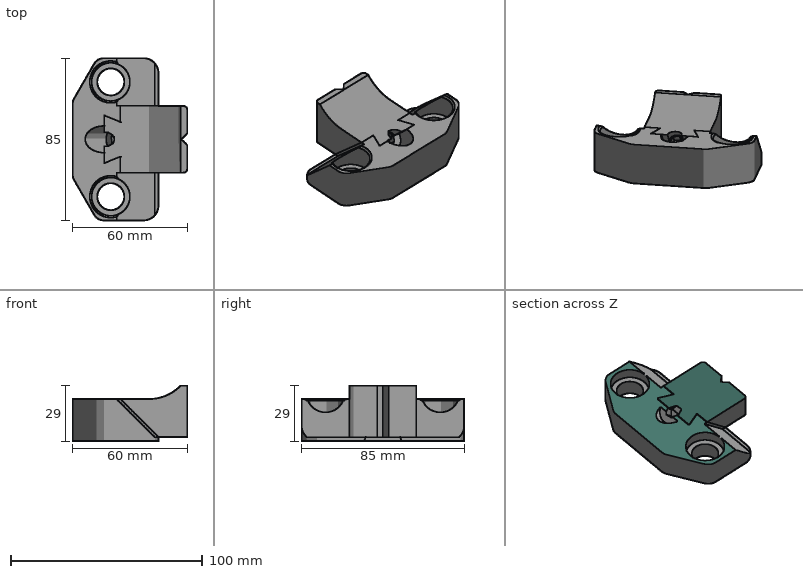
import cadquery as cq
import math

SLOPE = math.sqrt(2)

BASE_LENGTH = 45.0
BASE_WIDTH = 85.0
BASE_HEIGHT = 22.0
BASE_BACK_WIDTH = 40.0
BASE_SHOULDER_X = 13.0
BASE_TAPER_FILLET = 6.0
BASE_FRONT_FILLET = 8.0

FLANK_TOP_X = 23.0
SLIDE_TOP_X = 25.0
LEDGE_HEIGHT = 2.0

MOUNT_X = 20.0
MOUNT_SPACING = 60.0
MOUNT_BORE_DIAMETER = 14.0
MOUNT_COUNTERBORE_DIAMETER = 20.0
MOUNT_FLOOR_Z = 9.0
MOUNT_CHAMFER = 1.0

DOVETAIL_WIDTH = 25.0
DOVETAIL_DEPTH = 6.0
DOVETAIL_ANGLE = 30.0
DOVETAIL_NECK_WIDTH = DOVETAIL_WIDTH - 2 * DOVETAIL_DEPTH * math.tan(math.radians(DOVETAIL_ANGLE))
DOVETAIL_TOP_X = SLIDE_TOP_X - DOVETAIL_DEPTH * SLOPE

JAW_END_X = 60.0
JAW_WIDTH = 35.0
JAW_HEIGHT = 29.0
JAW_FILLET = 2.0
JAW_ARC_START_X = 40.0
JAW_ARC_RADIUS = 23.0
NOTCH_DEPTH = 3.0

SCREW_POCKET_DIAMETER = 14.0
SCREW_ACCESS_DIAMETER = 7.5
SCREW_RECESS_DEPTH = 8.5
SOCKET_SIDES = 6
SOCKET_ACROSS_FLATS = 6.0
SOCKET_DEPTH = 5.0
SOCKET_TURN = 22.5

OVERCUT = 20.0


def incline_plane(top_x):
    """Plane square to the incline: local Y points down into the base, normal runs down the slide."""
    return cq.Plane(origin=(top_x, 0, BASE_HEIGHT), xDir=(0, -1, 0), normal=(1, 0, -1))


def prism_across(points, width):
    """Extrude an XZ outline symmetrically about Y = 0."""
    return cq.Workplane("XZ").polyline(points).close().extrude(width / 2, both=True)


def dovetail_bar():
    """Dovetail running the whole length of the incline, past both ends."""
    run = BASE_HEIGHT * SLOPE + 2 * OVERCUT
    return (
        cq.Workplane(incline_plane(SLIDE_TOP_X))
        .workplane(offset=-OVERCUT)
        .polyline([
            (-DOVETAIL_NECK_WIDTH / 2, 0),
            (DOVETAIL_NECK_WIDTH / 2, 0),
            (DOVETAIL_WIDTH / 2, DOVETAIL_DEPTH),
            (-DOVETAIL_WIDTH / 2, DOVETAIL_DEPTH),
        ])
        .close()
        .extrude(run)
    )


def screw_recess(diameter):
    """Round recess down the incline with a hexagon socket in its floor."""
    axis_start = cq.Workplane(incline_plane(DOVETAIL_TOP_X))
    bore = (
        axis_start.workplane(offset=-OVERCUT)
        .circle(diameter / 2)
        .extrude(OVERCUT + SCREW_RECESS_DEPTH)
    )
    socket = (
        axis_start.workplane(offset=SCREW_RECESS_DEPTH)
        .transformed(rotate=(0, 0, SOCKET_TURN))
        .polygon(SOCKET_SIDES, SOCKET_ACROSS_FLATS, circumscribed=True)
        .extrude(SOCKET_DEPTH)
    )
    return bore.union(socket)


def base_plate():
    """Plate with a tapered back end and rounded vertical corners."""
    half = BASE_WIDTH / 2
    half_back = BASE_BACK_WIDTH / 2
    return (
        cq.Workplane("XY")
        .polyline([
            (0, -half_back),
            (BASE_SHOULDER_X, -half),
            (BASE_LENGTH, -half),
            (BASE_LENGTH, half),
            (BASE_SHOULDER_X, half),
            (0, half_back),
        ])
        .close()
        .extrude(BASE_HEIGHT)
        .edges("|Z and (not >X)").fillet(BASE_TAPER_FILLET)
        .edges("|Z and >X").fillet(BASE_FRONT_FILLET)
    )


def incline_cutter(top_x, width):
    """Everything above an incline and above the ledge at its foot."""
    foot_x = top_x + BASE_HEIGHT - LEDGE_HEIGHT
    return prism_across(
        [
            (top_x, BASE_HEIGHT),
            (foot_x, LEDGE_HEIGHT),
            (JAW_END_X, LEDGE_HEIGHT),
            (JAW_END_X, BASE_HEIGHT),
        ],
        width,
    )


def mounting_hole(y):
    """Through bore with a counterbore and a chamfered rim."""
    counterbore_radius = MOUNT_COUNTERBORE_DIAMETER / 2
    rim_radius = counterbore_radius + MOUNT_CHAMFER
    return (
        cq.Workplane("XZ")
        .polyline([
            (0, 0),
            (MOUNT_BORE_DIAMETER / 2, 0),
            (MOUNT_BORE_DIAMETER / 2, MOUNT_FLOOR_Z),
            (counterbore_radius, MOUNT_FLOOR_Z),
            (counterbore_radius, BASE_HEIGHT - MOUNT_CHAMFER),
            (rim_radius, BASE_HEIGHT),
            (0, BASE_HEIGHT),
        ])
        .close()
        .revolve(360, (0, 0, 0), (0, 1, 0))
        .translate((MOUNT_X, y, 0))
    )


def make_base():
    slide_cut = incline_cutter(SLIDE_TOP_X, JAW_WIDTH)
    pad_zone = cq.Workplane("XY").box(
        BASE_LENGTH, JAW_WIDTH, BASE_HEIGHT, centered=(False, True, False)
    )
    flank_cut = incline_cutter(FLANK_TOP_X, BASE_WIDTH).cut(pad_zone)
    base = base_plate().cut(flank_cut).cut(slide_cut)
    for y in (-MOUNT_SPACING / 2, MOUNT_SPACING / 2):
        base = base.cut(mounting_hole(y))
    return base.cut(dovetail_bar()).cut(screw_recess(SCREW_POCKET_DIAMETER))


def jaw_block():
    """Jaw body: inclined back, curved top and rounded end corners."""
    rise = JAW_HEIGHT - BASE_HEIGHT
    arc_centre_z = BASE_HEIGHT + JAW_ARC_RADIUS
    arc_angle = math.acos(1 - rise / JAW_ARC_RADIUS)

    def arc_point(angle):
        return (
            JAW_ARC_START_X + JAW_ARC_RADIUS * math.sin(angle),
            arc_centre_z - JAW_ARC_RADIUS * math.cos(angle),
        )

    return (
        cq.Workplane("XZ")
        .moveTo(SLIDE_TOP_X, BASE_HEIGHT)
        .lineTo(JAW_ARC_START_X, BASE_HEIGHT)
        .threePointArc(arc_point(arc_angle / 2), arc_point(arc_angle))
        .lineTo(JAW_END_X, JAW_HEIGHT)
        .lineTo(JAW_END_X, LEDGE_HEIGHT)
        .lineTo(SLIDE_TOP_X + BASE_HEIGHT - LEDGE_HEIGHT, LEDGE_HEIGHT)
        .close()
        .extrude(JAW_WIDTH / 2, both=True)
        .edges("|Z and >X").fillet(JAW_FILLET)
    )


def make_jaw():
    tongue_zone = (
        cq.Workplane("XY")
        .workplane(offset=LEDGE_HEIGHT)
        .rect(2 * JAW_END_X, JAW_WIDTH)
        .extrude(BASE_HEIGHT - LEDGE_HEIGHT)
    )
    tongue = dovetail_bar().intersect(tongue_zone)
    notch = (
        cq.Workplane("XY")
        .polyline([
            (JAW_END_X, -NOTCH_DEPTH),
            (JAW_END_X, NOTCH_DEPTH),
            (JAW_END_X - NOTCH_DEPTH, 0),
        ])
        .close()
        .extrude(JAW_HEIGHT)
    )
    return jaw_block().union(tongue).cut(notch).cut(screw_recess(SCREW_ACCESS_DIAMETER))


base = make_base()
jaw = make_jaw()

result = cq.Compound.makeCompound([base.val(), jaw.val()])